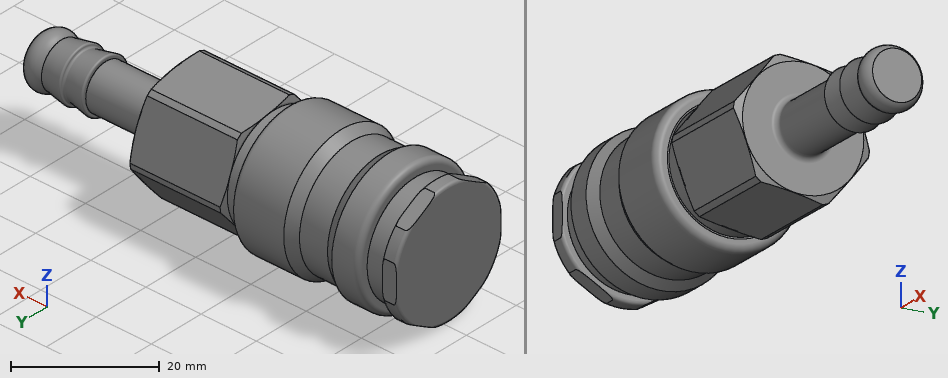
import cadquery as cq
import math


overall_length = 73.6
core_diameter = 19.4
neck_diameter = 18.9
side_count = 6

collar_length = 2.6
collar_diameter = 22.0
collar_across_flats = 21.0
collar_fillet = 0.5

sleeve_start = 6.0
sleeve_end = 29.15
sleeve_diameter = 23.2
sleeve_front_fillet = 0.95
sleeve_rear_fillet = 1.1
waist_diameter = 21.0
waist_start = 12.5
waist_end = 17.6
waist_front_taper = 1.8
waist_rear_taper = 1.85

hex_start = 31.6
hex_end = 48.65
hex_across_flats = 19.0
hex_corner_diameter = 21.35
hex_tilt = 20.9
hex_front_face_diameter = 19.35
hex_front_chamfer = 0.3
hex_rear_face_diameter = neck_diameter
hex_rear_chamfer = 0.45

tube_radius = 4.05
tube_root_fillet = 0.9
barb_radius = 4.7
barb_crest_fillet = 0.3
first_barb_start = 62.1
second_barb_start = 66.2
bulb_start = 70.15
bulb_crest = 72.0
bulb_end_radius = 3.8


def turned(profile):
    """Revolve an (axial position, radius) profile about the X axis."""
    return profile.close().revolve(360, (0, 0, 0), (1, 0, 0))


def rod(start, end, diameter):
    """Round bar along X between two axial positions."""
    return cq.Workplane("YZ", origin=(start, 0, 0)).circle(diameter / 2).extrude(end - start)


def hexagonal_bar(start, end, across_flats, tilt):
    """Six-sided bar along X; a tilt of zero puts one pair of flats square to Y."""
    half_side_angle = 180 / side_count
    across_corners = across_flats / math.cos(math.radians(half_side_angle))
    bar = cq.Workplane("YZ").polygon(side_count, across_corners).extrude(end - start)
    return bar.rotate((0, 0, 0), (1, 0, 0), half_side_angle + tilt).translate((start, 0, 0))


def make_collar():
    """Round-edged disc trimmed by flats that leave short round lands between them."""
    disc = rod(0, collar_length, collar_diameter).edges().fillet(collar_fillet)
    return disc.intersect(hexagonal_bar(0, collar_length, collar_across_flats, 0))


def make_hexagon():
    """Hexagon with turned corners and a chamfer at each end."""
    corner_radius = hex_corner_diameter / 2
    envelope = turned(
        cq.Workplane("XY")
        .moveTo(hex_start, 0)
        .lineTo(hex_start, hex_front_face_diameter / 2)
        .lineTo(hex_start + hex_front_chamfer, corner_radius)
        .lineTo(hex_end - hex_rear_chamfer, corner_radius)
        .lineTo(hex_end, hex_rear_face_diameter / 2)
        .lineTo(hex_end, 0)
    )
    return envelope.intersect(hexagonal_bar(hex_start, hex_end, hex_across_flats, hex_tilt))


def make_hose_barb():
    """Tube with a filleted root, two saw-tooth barbs and a rounded bulb at its tip."""
    crest_base = barb_radius - barb_crest_fillet
    arc_point = 1 - math.sqrt(0.5)
    root_drop = tube_root_fillet * arc_point
    crest_drop = barb_crest_fillet * arc_point
    barb_root_fillet = crest_base - tube_radius
    second_root = second_barb_start - barb_root_fillet
    root_bend = barb_root_fillet * arc_point
    return turned(
        cq.Workplane("XY")
        .moveTo(hex_end, 0)
        .lineTo(hex_end, tube_radius + tube_root_fillet)
        .threePointArc(
            (hex_end + root_drop, tube_radius + root_drop),
            (hex_end + tube_root_fillet, tube_radius),
        )
        .lineTo(first_barb_start, tube_radius)
        .lineTo(first_barb_start, crest_base)
        .threePointArc(
            (first_barb_start + crest_drop, barb_radius - crest_drop),
            (first_barb_start + barb_crest_fillet, barb_radius),
        )
        .lineTo(second_root, tube_radius)
        .threePointArc(
            (second_barb_start - root_bend, tube_radius + root_bend),
            (second_barb_start, crest_base),
        )
        .threePointArc(
            (second_barb_start + crest_drop, barb_radius - crest_drop),
            (second_barb_start + barb_crest_fillet, barb_radius),
        )
        .lineTo(bulb_start, tube_radius)
        .threePointArc((bulb_crest, barb_radius), (overall_length, bulb_end_radius))
        .lineTo(overall_length, 0)
    )


def make_body():
    """Collar, core, neck, hexagon and hose barb joined into one solid."""
    core = rod(collar_length, sleeve_end, core_diameter)
    neck = rod(sleeve_end, hex_start, neck_diameter)
    return make_collar().union(core).union(neck).union(make_hexagon()).union(make_hose_barb())


def make_sleeve():
    """Ring with rounded ends and a grip waist, bored to slide on the core."""
    bore_radius = core_diameter / 2
    rim_radius = sleeve_diameter / 2
    waist_radius = waist_diameter / 2
    ring = turned(
        cq.Workplane("XY")
        .moveTo(sleeve_start, bore_radius)
        .lineTo(sleeve_start, rim_radius)
        .lineTo(waist_start - waist_front_taper, rim_radius)
        .lineTo(waist_start, waist_radius)
        .lineTo(waist_end, waist_radius)
        .lineTo(waist_end + waist_rear_taper, rim_radius)
        .lineTo(sleeve_end, rim_radius)
        .lineTo(sleeve_end, bore_radius)
    )
    outer_edge = cq.selectors.RadiusNthSelector(-1)
    ring = ring.faces("<X").edges(outer_edge).fillet(sleeve_front_fillet)
    return ring.faces(">X").edges(outer_edge).fillet(sleeve_rear_fillet)


body = make_body()
sleeve = make_sleeve()

result = cq.Compound.makeCompound([body.val(), sleeve.val()])